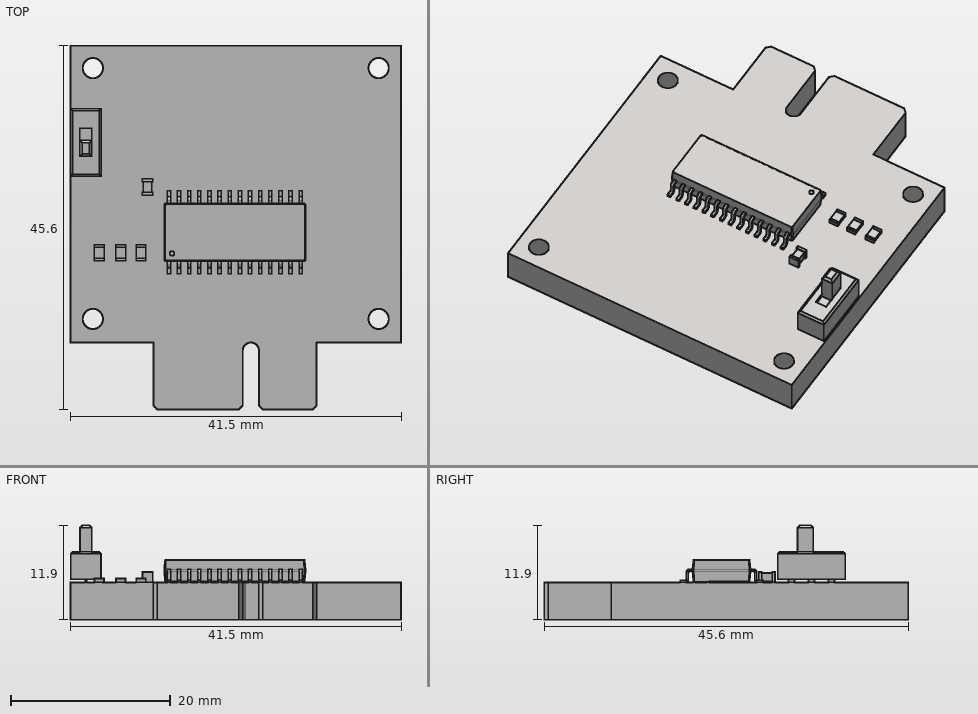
import math

import cadquery as cq

board_width = 41.45
board_length = 45.6
board_thickness = 4.7
tab_length = 8.4
tab_left = 10.4
tab_right = 30.85
tab_chamfer = 0.5
slot_left = 21.6
slot_width = 2.0
hole_diameter = 2.5
hole_inset = 2.83
hole_tab_side_inset = 2.95

switch_left = 0.05
switch_front = 29.22
switch_width = 3.85
switch_length = 8.5
switch_gap = 0.35
switch_height = 3.45
switch_chamfer = 0.27
lever_width = 1.5
lever_length = 2.0
lever_rise = 3.35
lever_chamfer = 0.3
window_length = 3.5
window_depth = 0.45
switch_pin_width = 0.25
switch_pin_length = 0.78
switch_pin_pitch = 2.5

chip_center_x = 20.6
chip_center_y = 22.2
chip_length = 17.75
chip_width = 7.3
chip_draft_inset = 0.15
chip_underside = 0.1
chip_top = 2.83
chip_corner = 0.2
dot_diameter = 0.6
dot_depth = 0.1
dot_edge_distance = 1.0

leads_per_side = 14
lead_row_length = 16.5
lead_pitch = lead_row_length / (leads_per_side - 1)
lead_width = 0.4
lead_thickness = 0.27
lead_shoulder = 0.78
lead_span = 10.4
lead_top = 1.65
lead_outer_radius = 0.4
lead_inner_radius = 0.15

resistor_lefts = (3.0, 5.7, 8.25)
resistor_front = 18.65
resistor_width = 1.25
resistor_length = 2.0
resistor_height = 0.5
resistor_terminal_length = 0.3
resistor_face_inset = 0.05
capacitor_left = 9.03
capacitor_front = 26.85
capacitor_width = 1.3
capacitor_length = 2.05
capacitor_height = 1.3
capacitor_terminal_length = 0.35
capacitor_inset = 0.15


def block(left, front, bottom, width, length, height):
    """Box placed by its lowest corner."""
    return cq.Workplane("XY").box(width, length, height, centered=False).translate((left, front, bottom))


def make_board():
    slot_right = slot_left + slot_width
    slot_arc_start = tab_length - slot_width / 2
    outline = (
        cq.Workplane("XY")
        .moveTo(0, tab_length)
        .lineTo(tab_left, tab_length)
        .lineTo(tab_left, tab_chamfer)
        .lineTo(tab_left + tab_chamfer, 0)
        .lineTo(slot_left - tab_chamfer, 0)
        .lineTo(slot_left, tab_chamfer)
        .lineTo(slot_left, slot_arc_start)
        .threePointArc((slot_left + slot_width / 2, tab_length), (slot_right, slot_arc_start))
        .lineTo(slot_right, tab_chamfer)
        .lineTo(slot_right + tab_chamfer, 0)
        .lineTo(tab_right - tab_chamfer, 0)
        .lineTo(tab_right, tab_chamfer)
        .lineTo(tab_right, tab_length)
        .lineTo(board_width, tab_length)
        .lineTo(board_width, board_length)
        .lineTo(0, board_length)
        .close()
    )
    hole_centers = [
        (x, y)
        for x in (hole_inset, board_width - hole_inset)
        for y in (tab_length + hole_tab_side_inset, board_length - hole_inset)
    ]
    holes = cq.Workplane("XY").pushPoints(hole_centers).circle(hole_diameter / 2).extrude(board_thickness)
    return outline.extrude(board_thickness).cut(holes)


def make_switch():
    center_x = switch_left + switch_width / 2
    center_y = switch_front + switch_length / 2
    bottom = board_thickness + switch_gap
    top = bottom + switch_height
    lever_left = center_x - lever_width / 2
    window_front = center_y - window_length / 2

    housing = block(switch_left, switch_front, bottom, switch_width, switch_length, switch_height)
    housing = housing.faces(">Z").chamfer(switch_chamfer)
    window = block(lever_left, window_front, top - window_depth, lever_width, window_length, window_depth)
    lever = block(
        lever_left, window_front, top - window_depth, lever_width, lever_length, window_depth + lever_rise
    )
    lever = lever.faces(">Z").chamfer(lever_chamfer)
    switch = housing.cut(window).union(lever)
    for step in (-1, 0, 1):
        pin_center_y = center_y + step * switch_pin_pitch
        pin = block(
            center_x - switch_pin_width / 2,
            pin_center_y - switch_pin_length / 2,
            board_thickness,
            switch_pin_width,
            switch_pin_length,
            switch_gap,
        )
        switch = switch.union(pin)
    return switch


def make_lead():
    """Gull-wing lead on the +Y side of the package, centred on X = 0."""
    body_edge = chip_width / 2 - chip_draft_inset
    drop_outer = chip_width / 2 + lead_shoulder
    drop_inner = drop_outer - lead_thickness
    tip = lead_span / 2
    shoulder_bottom = lead_top - lead_thickness
    lead = (
        cq.Workplane("YZ")
        .moveTo(body_edge, lead_top)
        .lineTo(drop_outer, lead_top)
        .lineTo(drop_outer, lead_thickness)
        .lineTo(tip, lead_thickness)
        .lineTo(tip, 0)
        .lineTo(drop_inner, 0)
        .lineTo(drop_inner, shoulder_bottom)
        .lineTo(body_edge, shoulder_bottom)
        .close()
        .extrude(lead_width / 2, both=True)
    )

    def round_bend(shape, y, z, radius):
        return shape.edges(cq.selectors.NearestToPointSelector((0, y, z))).fillet(radius)

    lead = round_bend(lead, drop_outer, lead_top, lead_outer_radius)
    lead = round_bend(lead, drop_inner, shoulder_bottom, lead_inner_radius)
    lead = round_bend(lead, drop_outer, lead_thickness, lead_inner_radius)
    return round_bend(lead, drop_inner, 0, lead_outer_radius)


def make_chip():
    """Moulded package that tapers both ways from a flat band, with a row of leads on each long side."""
    band_bottom = lead_top - lead_thickness
    upper_height = chip_top - lead_top
    lower_height = band_bottom - chip_underside
    upper_taper = math.degrees(math.atan(chip_draft_inset / upper_height))
    lower_taper = math.degrees(math.atan(chip_draft_inset / lower_height))

    band = (
        cq.Workplane("XY", origin=(0, 0, band_bottom))
        .rect(chip_length, chip_width)
        .extrude(lead_thickness)
        .edges("|Z")
        .chamfer(chip_corner)
    )
    upper = band.faces(">Z").wires().toPending().extrude(upper_height, taper=upper_taper, combine=False)
    lower = band.faces("<Z").wires().toPending().extrude(-lower_height, taper=lower_taper, combine=False)
    dot = (
        cq.Workplane("XY", origin=(0, 0, chip_top - dot_depth))
        .center(dot_edge_distance - chip_length / 2, dot_edge_distance - chip_width / 2)
        .circle(dot_diameter / 2)
        .extrude(dot_depth)
    )
    chip = band.union(upper).union(lower).cut(dot)
    lead = make_lead()
    for i in range(leads_per_side):
        offset = i * lead_pitch - lead_row_length / 2
        chip = chip.union(lead.translate((offset, 0, 0)))
        chip = chip.union(lead.mirror("XZ").translate((offset, 0, 0)))
    return chip.translate((chip_center_x, chip_center_y, board_thickness))


def make_end_capped_part(left, front, width, length, height, terminal_length, side_inset, face_inset):
    """Core with a terminal on each end; the core sits inside the terminals at its sides, top and bottom."""
    part = block(
        left + side_inset,
        front,
        board_thickness + face_inset,
        width - 2 * side_inset,
        length,
        height - 2 * face_inset,
    )
    for terminal_front in (front, front + length - terminal_length):
        terminal = block(left, terminal_front, board_thickness, width, terminal_length, height)
        part = part.union(terminal)
    return part


def make_resistor(left):
    return make_end_capped_part(
        left,
        resistor_front,
        resistor_width,
        resistor_length,
        resistor_height,
        resistor_terminal_length,
        side_inset=0,
        face_inset=resistor_face_inset,
    )


def make_capacitor():
    return make_end_capped_part(
        capacitor_left,
        capacitor_front,
        capacitor_width,
        capacitor_length,
        capacitor_height,
        capacitor_terminal_length,
        side_inset=capacitor_inset,
        face_inset=capacitor_inset,
    )


board = make_board()
switch = make_switch()
chip = make_chip()
resistors = [make_resistor(left) for left in resistor_lefts]
capacitor = make_capacitor()

result = cq.Compound.makeCompound(
    [
        board.val(),
        switch.val(),
        chip.val(),
        *[resistor.val() for resistor in resistors],
        capacitor.val(),
    ]
)